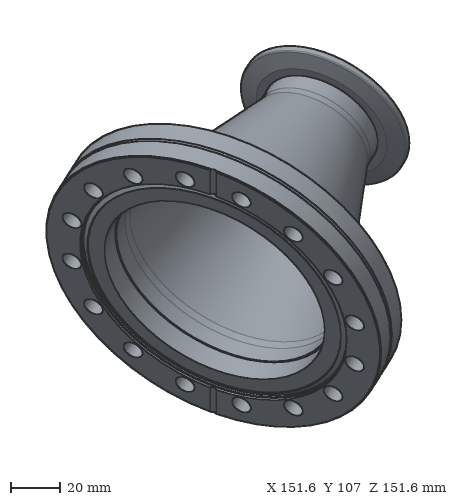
import cadquery as cq
import math

OVERALL_LENGTH = 107.0

FLANGE_DIAMETER = 151.6
FLANGE_THICKNESS = 20.0
FLANGE_CHAMFER = 0.5
FLANGE_BORE = 99.6
RIM_GROOVE_START = 9.2
RIM_GROOVE_WIDTH = 1.4
RIM_GROOVE_DEPTH = 0.2
BOLT_COUNT = 16
BOLT_HOLE_DIAMETER = 8.5
BOLT_CIRCLE = 130.4
LEAK_GROOVE_WIDTH = 2.6
LEAK_GROOVE_DEPTH = 0.8

RECESS_DIAMETER = 120.7
GROOVE_DIAMETER = 119.5
KNIFE_DIAMETER = 114.8
KNIFE_TIP_DEPTH = 0.8
INNER_FACE_DEPTH = 1.2
KNIFE_ROOT_DIAMETER = 114.3
RECESS_DEPTH = 2.3
LEDGE_DEPTH = 1.2

WALL = 1.8
LARGE_TUBE_DIAMETER = 101.9
SMALL_TUBE_DIAMETER = 51.1
TUBE_SEAT_DEPTH = 11.2
LARGE_BEND_START = 19.4
LARGE_BEND_END = 22.7
SMALL_BEND_START = 91.5
SMALL_BEND_END = 94.8

CLAMP_DIAMETER = 75.0
CLAMP_THICKNESS = 5.0
CLAMP_RIM_WIDTH = 3.0
CLAMP_TAPER_END_DIAMETER = 59.1
CLAMP_RIM_FILLET = 0.6

flange_radius = FLANGE_DIAMETER / 2
clamp_back = OVERALL_LENGTH - CLAMP_THICKNESS
large_corner = (LARGE_BEND_START + LARGE_BEND_END) / 2
small_corner = (SMALL_BEND_START + SMALL_BEND_END) / 2


def revolve_about_y(profile):
    """Turn a closed (radius, Y) profile into a full ring about the Y axis."""
    return profile.close().revolve(360, (0, 0, 0), (0, 1, 0))


def face_cylinder(diameter, start, length):
    """A solid cylinder along +Y, centred on the axis."""
    return cq.Workplane("XZ", origin=(0, start, 0)).circle(diameter / 2).extrude(-length)


def make_bolted_flange():
    flange = face_cylinder(FLANGE_DIAMETER, 0, FLANGE_THICKNESS)
    flange = flange.edges().chamfer(FLANGE_CHAMFER)
    flange = flange.cut(face_cylinder(FLANGE_BORE, 0, FLANGE_THICKNESS))
    flange = flange.cut(
        face_cylinder(LARGE_TUBE_DIAMETER, TUBE_SEAT_DEPTH, FLANGE_THICKNESS - TUBE_SEAT_DEPTH)
    )

    recess = revolve_about_y(
        cq.Workplane("XY")
        .moveTo(0, 0)
        .lineTo(RECESS_DIAMETER / 2, 0)
        .lineTo(RECESS_DIAMETER / 2, LEDGE_DEPTH)
        .lineTo(GROOVE_DIAMETER / 2, LEDGE_DEPTH)
        .lineTo(GROOVE_DIAMETER / 2, RECESS_DEPTH)
        .lineTo(KNIFE_DIAMETER / 2, KNIFE_TIP_DEPTH)
        .lineTo(KNIFE_ROOT_DIAMETER / 2, INNER_FACE_DEPTH)
        .lineTo(0, INNER_FACE_DEPTH)
    )
    flange = flange.cut(recess)

    rim_groove = face_cylinder(FLANGE_DIAMETER, RIM_GROOVE_START, RIM_GROOVE_WIDTH).cut(
        face_cylinder(FLANGE_DIAMETER - 2 * RIM_GROOVE_DEPTH, RIM_GROOVE_START, RIM_GROOVE_WIDTH)
    )
    flange = flange.cut(rim_groove)

    bolt_holes = (
        cq.Workplane("XZ")
        .polarArray(BOLT_CIRCLE / 2, 180 / BOLT_COUNT, 360, BOLT_COUNT)
        .circle(BOLT_HOLE_DIAMETER / 2)
        .extrude(-FLANGE_THICKNESS)
    )
    flange = flange.cut(bolt_holes)

    half_width = LEAK_GROOVE_WIDTH / 2
    groove_radius = (half_width**2 + LEAK_GROOVE_DEPTH**2) / (2 * LEAK_GROOVE_DEPTH)
    inner_end = GROOVE_DIAMETER / 2
    for side in (1, -1):
        groove = (
            cq.Workplane("XY", origin=(0, LEAK_GROOVE_DEPTH - groove_radius, side * inner_end))
            .circle(groove_radius)
            .extrude(side * (flange_radius - inner_end))
        )
        flange = flange.cut(groove)
    return flange


def make_reducer():
    outer_large = LARGE_TUBE_DIAMETER / 2
    outer_small = SMALL_TUBE_DIAMETER / 2
    slope = math.atan2(outer_large - outer_small, small_corner - large_corner)
    tangent = (LARGE_BEND_END - LARGE_BEND_START) / (1 + math.cos(slope))
    bend_radius = tangent / math.tan(slope / 2)

    def wall_profile(inset):
        """Corner points of a tube surface, inset square to the outer surface."""
        shift = -inset * math.tan(slope / 2)
        return [
            (outer_large - inset, TUBE_SEAT_DEPTH),
            (outer_large - inset, large_corner + shift),
            (outer_small - inset, small_corner + shift),
            (outer_small - inset, OVERALL_LENGTH),
        ]

    profile = cq.Workplane("XY").polyline(wall_profile(0) + wall_profile(WALL)[::-1])
    tube = revolve_about_y(profile)

    def is_bend(edge):
        return LARGE_BEND_START < edge.Center().y < SMALL_BEND_END

    bends = [edge for edge in tube.edges("%CIRCLE").vals() if is_bend(edge)]
    return tube.newObject(bends).fillet(bend_radius)


def make_clamp_flange():
    rim_end = OVERALL_LENGTH - CLAMP_RIM_WIDTH
    flange = revolve_about_y(
        cq.Workplane("XY")
        .moveTo(SMALL_TUBE_DIAMETER / 2, OVERALL_LENGTH)
        .lineTo(CLAMP_DIAMETER / 2, OVERALL_LENGTH)
        .lineTo(CLAMP_DIAMETER / 2, rim_end)
        .lineTo(CLAMP_TAPER_END_DIAMETER / 2, clamp_back)
        .lineTo(SMALL_TUBE_DIAMETER / 2, clamp_back)
    )

    def is_rim_corner(edge):
        return abs(edge.Center().y - rim_end) < CLAMP_RIM_FILLET

    rim_corner = [edge for edge in flange.edges("%CIRCLE").vals() if is_rim_corner(edge)]
    return flange.newObject(rim_corner).fillet(CLAMP_RIM_FILLET)


bolted_flange = make_bolted_flange()
reducer = make_reducer()
clamp_flange = make_clamp_flange()

result = cq.Compound.makeCompound([bolted_flange.val(), reducer.val(), clamp_flange.val()])